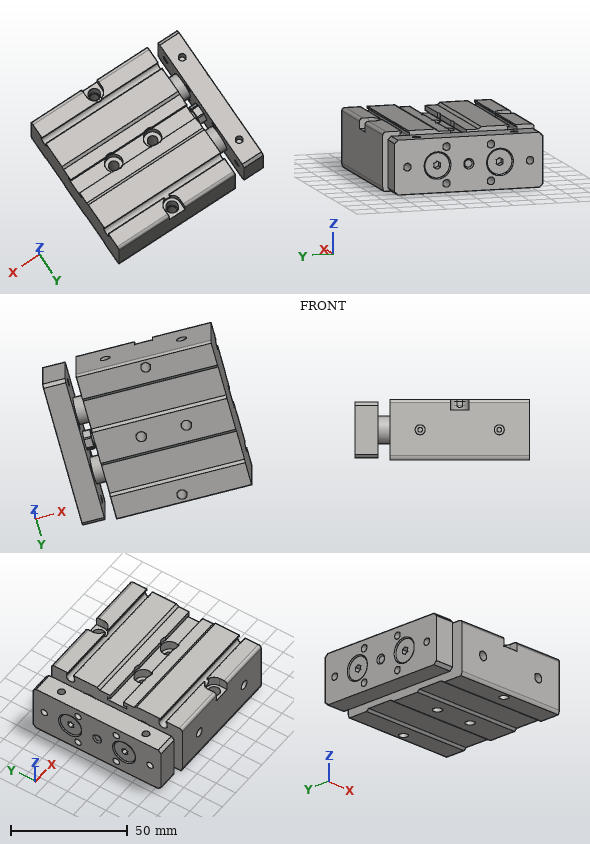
import cadquery as cq
import math


overall_length = 75.0
housing_length = 60.0
housing_width = 68.0
housing_height = 26.0
housing_front = overall_length - housing_length
housing_top = housing_height / 2
housing_bottom = -housing_height / 2
housing_side = housing_width / 2

top_edge_rise = 1.35
top_edge_run = 1.5
bottom_edge_rise = 1.95
bottom_edge_run = 0.7

channel_depth = 1.05
channel_slope_run = 1.3
top_channel_width = 20.4
bottom_land_width = 14.55
bottom_channel_outer = 23.0

tee_neck_width = 7.0
tee_neck_depth = 2.2
tee_foot_width = 10.0
tee_foot_height = 1.1

sensor_offset = 24.1
sensor_mouth_width = 3.0
sensor_lip = 0.8
sensor_width = 4.2
sensor_straight_depth = 2.55

center_hole_spacing = 20.0
center_hole_diameter = 4.5
counterbore_diameter = 8.0
counterbore_depth = 9.0
housing_middle = housing_front + housing_length / 2
pocket_offset = 30.0
pocket_width = counterbore_diameter
pocket_depth = 4.5
pocket_hole_diameter = 4.3
pocket_step_diameter = 5.4
pocket_step_depth = 7.5
lip_gap_width = 2.5

port_spacing = 34.0
port_diameter = 4.3
port_depth = 6.0
port_bore_diameter = 2.0
port_bore_depth = 12.0

plate_thickness = 10.0
plate_width = 66.5
plate_height = 24.0
plate_chamfer = 1.5
plate_hole_diameter = 3.3
outer_hole_offset = 27.5
inner_hole_offset = 10.0
inner_hole_rise = 8.0
top_hole_offset = 22.0
top_hole_depth = 6.0

guide_offset = 14.0
guide_diameter = 12.0
guide_bevel = 0.5
guide_socket_across_flats = 3.0
guide_socket_depth = 3.75
piston_diameter = 5.0
piston_seat_diameter = 4.5
piston_bevel = 0.6
nut_across_flats = 8.0
nut_round_diameter = 8.9
nut_length = 3.3
hexagon_sides = 6


def along_x(x, y=0.0, z=0.0):
    """Sketch plane at (x, y, z), facing +X, with local axes along Y and Z."""
    return cq.Workplane("YZ", origin=(x, y, z))


def bore_down(x, y, z, diameter, depth):
    """Vertical cylinder that starts at height z and goes down."""
    return cq.Workplane("XY", origin=(x, y, z)).circle(diameter / 2).extrude(-depth)


def bore_inward(x, y, z, diameter, depth):
    """Cylinder along +X that starts at x."""
    return along_x(x, y, z).circle(diameter / 2).extrude(depth)


def housing_prism(outline):
    """Closed YZ outline drawn on the housing's front end, swept along its length."""
    return outline.close().extrude(housing_length)



def tangent_radius(along, across):
    """Radius of the arc that leaves a face tangentially and drops `across` over the length `along`."""
    return (along**2 + across**2) / (2 * across)


def housing_block():
    """Extruded outline with rounded edges: the top arcs are tangent to the top, the bottom to the sides."""
    top_radius = tangent_radius(top_edge_run, top_edge_rise)
    bottom_radius = tangent_radius(bottom_edge_rise, bottom_edge_run)
    side_top = housing_top - top_edge_rise
    side_bottom = housing_bottom + bottom_edge_rise
    top_edge = housing_side - top_edge_run
    bottom_edge = housing_side - bottom_edge_run
    return housing_prism(
        along_x(housing_front)
        .moveTo(-bottom_edge, housing_bottom)
        .lineTo(bottom_edge, housing_bottom)
        .radiusArc((housing_side, side_bottom), -bottom_radius)
        .lineTo(housing_side, side_top)
        .radiusArc((top_edge, housing_top), -top_radius)
        .lineTo(-top_edge, housing_top)
        .radiusArc((-housing_side, side_top), -top_radius)
        .lineTo(-housing_side, side_bottom)
        .radiusArc((-bottom_edge, housing_bottom), -bottom_radius)
    )


def channel(y_min, y_max, face, floor):
    """Channel between two Y positions at the face, with sides that slope inward to the floor."""
    return housing_prism(
        along_x(housing_front)
        .moveTo(y_min, face)
        .lineTo(y_max, face)
        .lineTo(y_max - channel_slope_run, floor)
        .lineTo(y_min + channel_slope_run, floor)
    )


def tee_slot():
    neck_floor = housing_top - channel_depth - tee_neck_depth
    neck_height = housing_top - neck_floor
    neck = along_x(housing_front, 0, neck_floor + neck_height / 2).rect(tee_neck_width, neck_height)
    foot = along_x(housing_front, 0, neck_floor - tee_foot_height / 2).rect(tee_foot_width, tee_foot_height)
    return neck.extrude(housing_length).union(foot.extrude(housing_length))


def sensor_slot(y):
    """Slot with a narrow mouth, an undercut below the lips and a round floor."""
    half_mouth = sensor_mouth_width / 2
    half_width = sensor_width / 2
    return housing_prism(
        along_x(housing_front, y, housing_top)
        .moveTo(-half_mouth, 0)
        .lineTo(-half_mouth, -sensor_lip)
        .lineTo(-half_width, -sensor_lip)
        .lineTo(-half_width, -sensor_straight_depth)
        .threePointArc((0, -sensor_straight_depth - half_width), (half_width, -sensor_straight_depth))
        .lineTo(half_width, -sensor_lip)
        .lineTo(half_mouth, -sensor_lip)
        .lineTo(half_mouth, 0)
    )


def side_pocket(side):
    """Round-ended pocket open to one side (-1 or 1), with its stepped hole and gap to the sensor slot."""
    y = side * pocket_offset
    floor = housing_top - pocket_depth
    overrun = pocket_width
    round_end = bore_down(housing_middle, y, housing_top, pocket_width, pocket_depth)
    open_end = (
        cq.Workplane("XY", origin=(housing_middle, y + side * overrun / 2, housing_top))
        .rect(pocket_width, overrun)
        .extrude(-pocket_depth)
    )
    step = bore_down(housing_middle, y, floor, pocket_step_diameter, pocket_step_depth)
    hole = bore_down(housing_middle, y, floor, pocket_hole_diameter, housing_height)
    gap_length = pocket_offset - sensor_offset
    lip_gap = (
        cq.Workplane("XY", origin=(housing_middle, side * (sensor_offset + gap_length / 2), housing_top))
        .rect(lip_gap_width, gap_length)
        .extrude(-sensor_lip)
    )
    return round_end.union(open_end).union(step).union(hole).union(lip_gap)


def center_hole(x):
    hole = bore_down(x, 0, housing_top, center_hole_diameter, housing_height)
    return hole.union(bore_down(x, 0, housing_top, counterbore_diameter, counterbore_depth))


def air_port(x):
    side_plane = cq.Workplane("XZ", origin=(x, -housing_side, 0))
    mouth = side_plane.circle(port_diameter / 2).extrude(-port_depth)
    return mouth.union(side_plane.circle(port_bore_diameter / 2).extrude(-port_bore_depth))


def make_housing():
    body = housing_block()
    half_top_channel = top_channel_width / 2
    body = body.cut(channel(-half_top_channel, half_top_channel, housing_top, housing_top - channel_depth))
    body = body.cut(tee_slot())
    half_land = bottom_land_width / 2
    bottom_floor = housing_bottom + channel_depth
    body = body.cut(channel(half_land, bottom_channel_outer, housing_bottom, bottom_floor))
    body = body.cut(channel(-bottom_channel_outer, -half_land, housing_bottom, bottom_floor))
    for side in (-1, 1):
        body = body.cut(sensor_slot(side * sensor_offset))
        body = body.cut(side_pocket(side))
        body = body.cut(center_hole(housing_middle + side * center_hole_spacing / 2))
        body = body.cut(air_port(housing_middle + side * port_spacing / 2))
    return body



def beveled_recess(y, diameter, bevel):
    """Shallow recess in the plate's outer face whose wall is a 45 degree cone."""
    return along_x(0, y).circle(diameter / 2).extrude(bevel, taper=45)


def across_corners(across_flats):
    """Corner-to-corner size of a regular hexagon."""
    return across_flats / math.cos(math.pi / hexagon_sides)


def guide_socket(y):
    """Hexagon socket with two of its flats vertical."""
    socket_plane = along_x(0, y).transformed(rotate=(0, 0, 180 / hexagon_sides))
    hexagon = socket_plane.polygon(hexagon_sides, across_corners(guide_socket_across_flats))
    return hexagon.extrude(guide_socket_depth)


def lock_nut():
    """Hexagonal nut with its corners turned off."""
    hexagon = along_x(plate_thickness).polygon(hexagon_sides, across_corners(nut_across_flats))
    turned_blank = bore_inward(plate_thickness, 0, 0, nut_round_diameter, nut_length)
    return hexagon.extrude(nut_length).intersect(turned_blank)


def make_moving_plate():
    body = along_x(0).rect(plate_width, plate_height).extrude(plate_thickness)
    body = body.edges("|X").chamfer(plate_chamfer)
    rod_length = housing_front - plate_thickness
    body = body.union(lock_nut())
    body = body.union(bore_inward(plate_thickness, 0, 0, piston_diameter, rod_length))
    body = body.cut(beveled_recess(0, piston_seat_diameter, piston_bevel))
    for side in (-1, 1):
        guide_y = side * guide_offset
        body = body.union(bore_inward(plate_thickness, guide_y, 0, guide_diameter, rod_length))
        body = body.cut(beveled_recess(guide_y, guide_diameter, guide_bevel))
        body = body.cut(guide_socket(guide_y))
        body = body.cut(bore_inward(0, side * outer_hole_offset, 0, plate_hole_diameter, plate_thickness))
        for rise in (-inner_hole_rise, inner_hole_rise):
            hole_y = side * inner_hole_offset
            body = body.cut(bore_inward(0, hole_y, rise, plate_hole_diameter, plate_thickness))
        top_y = side * top_hole_offset
        plate_top = plate_height / 2
        body = body.cut(bore_down(plate_thickness / 2, top_y, plate_top, plate_hole_diameter, top_hole_depth))
    return body


housing = make_housing()
moving_plate = make_moving_plate()

result = cq.Compound.makeCompound([housing.val(), moving_plate.val()])